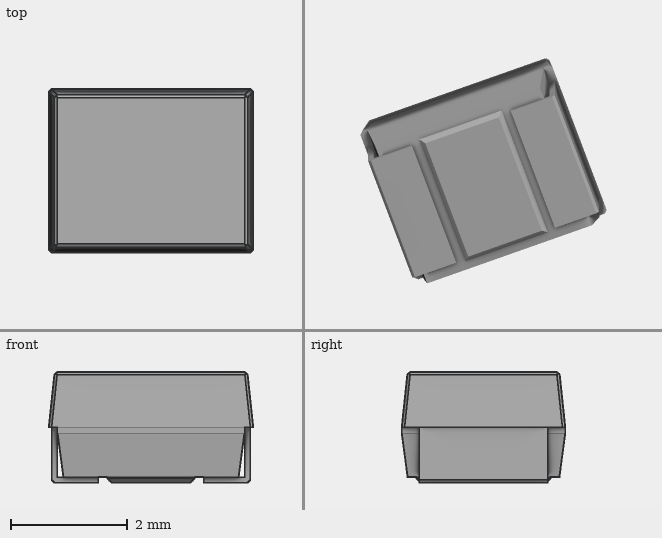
import cadquery as cq

length = 3.5
width = 2.8
height = 1.9

side_draft = 0.1
parting_z = height / 2
edge_chamfer = 0.05
band_height = 0.1
band_length = 3.2

lead_thickness = 0.1
lead_span = band_length + 2 * lead_thickness
lead_width = 2.2
foot_length = 0.8
bend_chamfer = 0.05

standoff_height = lead_thickness
standoff_length = 1.5
standoff_width = 2.3
standoff_chamfer = 0.08


def frustum(bottom_z, bottom_size, top_z, top_size):
    """Straight-sided block between two centered rectangles."""
    return (
        cq.Workplane("XY", origin=(0, 0, bottom_z))
        .rect(*bottom_size)
        .workplane(offset=top_z - bottom_z)
        .rect(*top_size)
        .loft(ruled=True)
    )


def inset(size, distance):
    """Rectangle size reduced by the same distance on all four sides."""
    return tuple(side - 2 * distance for side in size)


def make_cover():
    """Upper body half with chamfered corners and top rim."""
    rim = (length, width)
    cover = frustum(parting_z, rim, height, inset(rim, side_draft))
    cover = cover.edges(">Z").chamfer(edge_chamfer)
    mid_z = (parting_z + height) / 2
    sloping_edges = cover.edges("not #Z")
    corner_edges = sloping_edges.filter(lambda edge: edge.BoundingBox().zmin < mid_z)
    return corner_edges.chamfer(edge_chamfer)


def make_base():
    """Lower body half: straight band, then a taper down to the standoff level."""
    band_size = (band_length, width)
    band_bottom = parting_z - band_height
    band = frustum(band_bottom, band_size, parting_z, band_size)
    taper = frustum(standoff_height, inset(band_size, side_draft), band_bottom, band_size)
    return band.union(taper)


def make_standoff():
    """Pad below the base with a chamfered underside."""
    pad = cq.Workplane("XY").rect(standoff_length, standoff_width).extrude(standoff_height)
    return pad.faces("<Z").edges().chamfer(standoff_chamfer)


def make_lead():
    """L-shaped terminal on the -X end, with its foot folded under the body."""
    outer_x = -lead_span / 2
    inner_x = outer_x + lead_thickness
    foot_end_x = outer_x + foot_length
    return (
        cq.Workplane("XZ")
        .moveTo(outer_x, parting_z)
        .lineTo(outer_x, bend_chamfer)
        .lineTo(outer_x + bend_chamfer, 0)
        .lineTo(foot_end_x, 0)
        .lineTo(foot_end_x, lead_thickness)
        .lineTo(inner_x, lead_thickness)
        .lineTo(inner_x, parting_z)
        .close()
        .extrude(lead_width / 2, both=True)
    )


lead = make_lead()
result = (
    make_cover()
    .union(make_base())
    .union(make_standoff())
    .union(lead)
    .union(lead.mirror("YZ"))
)